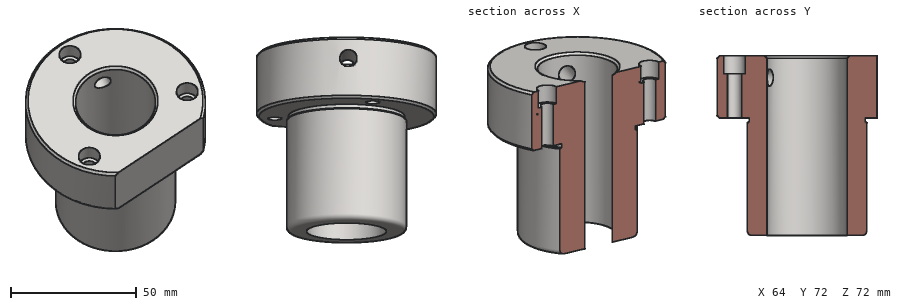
import cadquery as cq

total_height = 72.0
flange_diameter = 72.0
flange_thickness = 25.0
flange_chamfer = 1.0
flat_offset = 28.0

sleeve_diameter = 48.0
groove_diameter = 46.65
groove_width = 1.45
sleeve_top_chamfer = 0.5
sleeve_end_round = 2.0

bore_diameter = 32.0
bore_chamfer = 1.0

screw_count = 3
first_screw_angle = 60.0
screw_circle_diameter = 58.0
screw_diameter = 5.5
counterbore_diameter = 8.6
counterbore_depth = 7.2

port_diameter = 6.85
port_angle = 160.0
port_drop = 8.8

flange_radius = flange_diameter / 2
sleeve_radius = sleeve_diameter / 2
bore_radius = bore_diameter / 2
flange_bottom = total_height - flange_thickness
sleeve_top = flange_bottom - groove_width


def make_flange():
    disc = (
        cq.Workplane("XY", origin=(0, 0, flange_bottom))
        .circle(flange_radius)
        .extrude(flange_thickness)
        .edges()
        .chamfer(flange_chamfer)
    )
    kept_side = (
        cq.Workplane("XY", origin=(-flange_radius, 0, 0))
        .box(flange_radius + flat_offset, flange_diameter, total_height, centered=(False, True, False))
    )
    return disc.intersect(kept_side)


def make_sleeve():
    sleeve = cq.Workplane("XY").circle(sleeve_radius).extrude(sleeve_top)
    sleeve = sleeve.faces(">Z").edges().chamfer(sleeve_top_chamfer)
    sleeve = sleeve.faces("<Z").edges().fillet(sleeve_end_round)
    neck = (
        cq.Workplane("XY", origin=(0, 0, sleeve_end_round))
        .circle(groove_diameter / 2)
        .extrude(flange_bottom - sleeve_end_round)
    )
    return sleeve.union(neck)


def make_bore():
    bore = cq.Workplane("XY").circle(bore_radius).extrude(total_height)
    countersink = cq.Workplane("XY").add(
        cq.Solid.makeCone(
            bore_radius, bore_radius + bore_chamfer, bore_chamfer,
            pnt=cq.Vector(0, 0, total_height - bore_chamfer),
        )
    )
    return bore.union(countersink)


def drill_screw_holes(body):
    return (
        body.faces(">Z")
        .workplane(origin=(0, 0, total_height))
        .polarArray(screw_circle_diameter / 2, first_screw_angle, 360, screw_count)
        .cboreHole(screw_diameter, counterbore_diameter, counterbore_depth)
    )


def make_port():
    port = cq.Workplane("YZ").circle(port_diameter / 2).extrude(flange_radius)
    return port.rotate((0, 0, 0), (0, 0, 1), port_angle).translate((0, 0, total_height - port_drop))


body = make_flange().union(make_sleeve())
body = drill_screw_holes(body)
result = body.cut(make_bore()).cut(make_port())